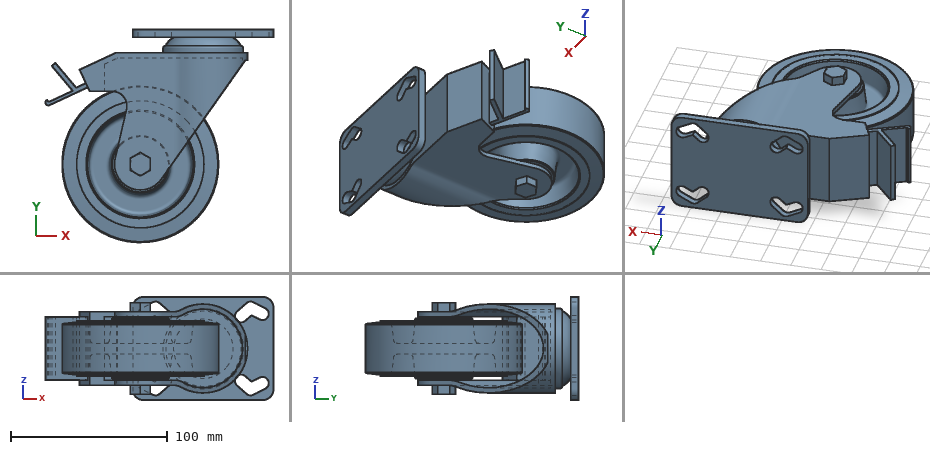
import cadquery as cq
import math


overall_length = 145.6
overall_height = 136.0

wheel_radius = 100.0 / 2
tread_half_width = 15.9
tread_edge_radial = 0.6
tread_edge_axial = 0.7
tread_crown_rise = 1.0
rim_radius = 81.3 / 2
rim_half_width = 17.6
rim_mouth_radius = 34.7
rim_mouth_chamfer = 0.9
rim_floor_radius = 32.3
web_half_width = 3.5
rim_floor_fillet = 2.5
hub_half_width = 19.2
hub_radius = 18.4
hub_edge_chamfer = 0.6
hub_base_radius = 19.8
hub_base_fillet = 2.5

axle_diameter = 13.0
bolt_across_flats = 13.0
bolt_half_length = 29.3

plate_length = 90.0
plate_width = 66.0
plate_thickness = 5.1
plate_top = overall_height - wheel_radius
plate_corner_radius = 7.0
slot_width = 7.9
slot_path = [(24.3, 20.7), (30.3, 25.9), (37.9, 22.1)]

swivel_x = 40.0
bearing_radius = 51.3 / 2
bearing_edge_radius = 1.6
bearing_rim_height = 4.4
dome_base_radius = bearing_radius - bearing_edge_radius
dome_top_radius = 19.0
dome_bulge = 0.5

fork_top = 71.2
fork_wall = 3.3
leg_half_width = 23.5
skirt_radius = 28.4
neck_radius = 9.5
leg_end_radius = 16.5
leg_back_angle = 13.0
lip_height = 5.0
lip_inset = 1.5
arm_bend_x = -15.5
arm_slope = 25.0
arm_slope_length = 25.8
arm_bottom = 46.5
arm_corner_radius = 9.3
cavity_back_x = -22.9

lever_width = 2 * (leg_half_width - fork_wall)
curl_radius = 1.9
curl_x = swivel_x + plate_length / 2 - overall_length + curl_radius
curl_y = 39.3
curl_notch_height = 0.7
pedal_thickness = 2.2
lever_length = 32.0
release_thickness = 3.0
release_start = 17.2
release_length = 20.7
release_angle = 105.0
foot_start = 18.6


def polar(radius, degrees):
    angle = math.radians(degrees)
    return radius * math.cos(angle), radius * math.sin(angle)


def make_wheel():
    crown = tread_half_width + tread_crown_rise
    half = (
        cq.Workplane("XZ")
        .moveTo(0, 0)
        .lineTo(wheel_radius, 0)
        .lineTo(wheel_radius, tread_half_width - tread_edge_axial)
        .lineTo(wheel_radius - tread_edge_radial, tread_half_width)
        .lineTo(rim_radius, crown)
        .lineTo(rim_radius, rim_half_width)
        .lineTo(rim_mouth_radius, rim_half_width)
        .lineTo(rim_mouth_radius - rim_mouth_chamfer, rim_half_width - rim_mouth_chamfer)
        .lineTo(rim_floor_radius, web_half_width + rim_floor_fillet)
        .radiusArc((rim_floor_radius - rim_floor_fillet, web_half_width), rim_floor_fillet)
        .lineTo(hub_base_radius + hub_base_fillet, web_half_width)
        .radiusArc((hub_base_radius, web_half_width + hub_base_fillet), hub_base_fillet)
        .lineTo(hub_radius, hub_half_width - hub_edge_chamfer)
        .lineTo(hub_radius - hub_edge_chamfer, hub_half_width)
        .lineTo(0, hub_half_width)
        .close()
        .revolve(360, (0, 0, 0), (0, 1, 0))
    )
    return half.union(half.mirror("XY"))


def make_axle():
    axle = cq.Workplane("XY").circle(axle_diameter / 2).extrude(leg_half_width, both=True)
    across_corners = bolt_across_flats / math.cos(math.radians(30))
    head = (
        cq.Workplane("XY", origin=(0, 0, leg_half_width))
        .transformed(rotate=(0, 0, 90))
        .polygon(6, across_corners)
        .extrude(bolt_half_length - leg_half_width)
    )
    return axle.union(head).union(head.mirror("XY"))


def make_plate():
    top_face = cq.Workplane("XZ", origin=(swivel_x, plate_top, 0))
    plate = (
        top_face.rect(plate_length, plate_width)
        .extrude(plate_thickness)
        .edges("|Y")
        .fillet(plate_corner_radius)
    )
    slot = top_face.pushPoints(slot_path).circle(slot_width / 2).extrude(plate_thickness)
    for (x1, z1), (x2, z2) in zip(slot_path, slot_path[1:]):
        leg = (
            top_face.center((x1 + x2) / 2, (z1 + z2) / 2)
            .transformed(rotate=(0, 0, math.degrees(math.atan2(z2 - z1, x2 - x1))))
            .rect(math.hypot(x2 - x1, z2 - z1), slot_width)
            .extrude(plate_thickness)
        )
        slot = slot.union(leg)
    slot_pair = slot.union(slot.mirror("XY"))
    opposite_pair = slot_pair.mirror("YZ", (swivel_x, 0, 0))
    return plate.cut(slot_pair).cut(opposite_pair)


def make_bearing():
    dome_base = bearing_rim_height
    dome_top = plate_top - plate_thickness - fork_top
    middle_radius = (dome_base_radius + dome_top_radius) / 2 + dome_bulge
    middle_height = (dome_base + dome_top) / 2 + dome_bulge
    return (
        cq.Workplane("XY", origin=(swivel_x, fork_top, 0))
        .lineTo(bearing_radius, 0)
        .lineTo(bearing_radius, dome_base - bearing_edge_radius)
        .radiusArc((dome_base_radius, dome_base), -bearing_edge_radius)
        .threePointArc((middle_radius, middle_height), (dome_top_radius, dome_top))
        .lineTo(0, dome_top)
        .close()
        .revolve(360, (0, 0, 0), (0, 1, 0))
    )


def fork_plan(inset, start_y):
    """Keyhole-shaped prism: two straight legs joined by a round skirt, shrunk by inset."""
    half_width = leg_half_width - inset
    radius = skirt_radius - inset
    neck = neck_radius + inset
    neck_z = half_width + neck
    neck_x = swivel_x - math.sqrt((radius + neck) ** 2 - neck_z**2)
    share = neck / (radius + neck)
    join_x = neck_x + share * (swivel_x - neck_x)
    join_z = neck_z * (1 - share)
    back_x = arm_bend_x - arm_slope_length
    return (
        cq.Workplane("XZ", origin=(0, start_y, 0))
        .moveTo(back_x, -half_width)
        .lineTo(neck_x, -half_width)
        .radiusArc((join_x, -join_z), neck)
        .threePointArc((swivel_x + radius, 0), (join_x, join_z))
        .radiusArc((neck_x, half_width), neck)
        .lineTo(back_x, half_width)
        .close()
        .extrude(start_y + leg_end_radius)
    )


def fork_outline():
    """Side outline of the fork: sloped arm, lip, slanted skirt edge and round leg end."""
    slope_x, slope_y = polar(arm_slope_length, arm_slope)
    nose = (arm_bend_x - slope_x, fork_top - slope_y)
    heel_x = nose[0] + (nose[1] - arm_bottom) * math.tan(math.radians(arm_slope))
    lip_x = swivel_x + skirt_radius
    lip_y = fork_top - lip_height
    skirt_start = (lip_x - lip_inset, lip_y)

    start_distance = math.hypot(*skirt_start)
    start_angle = math.degrees(math.atan2(skirt_start[1], skirt_start[0]))
    front_angle = start_angle - math.degrees(math.acos(leg_end_radius / start_distance))
    front_tangent = polar(leg_end_radius, front_angle)
    back_tangent = polar(leg_end_radius, 180 - leg_back_angle)

    lean = math.radians(leg_back_angle)
    corner_x = (arm_bottom * math.sin(lean) - leg_end_radius) / math.cos(lean)
    corner_run = arm_corner_radius * math.tan((math.pi / 2 + lean) / 2)
    corner_end = (
        corner_x - corner_run * math.sin(lean),
        arm_bottom - corner_run * math.cos(lean),
    )
    return (
        cq.Workplane("XY")
        .moveTo(arm_bend_x, fork_top)
        .lineTo(lip_x, fork_top)
        .lineTo(lip_x, lip_y)
        .lineTo(*skirt_start)
        .lineTo(*front_tangent)
        .threePointArc((0, -leg_end_radius), back_tangent)
        .lineTo(*corner_end)
        .radiusArc((corner_x - corner_run, arm_bottom), -arm_corner_radius)
        .lineTo(heel_x, arm_bottom)
        .lineTo(*nose)
        .close()
        .extrude(skirt_radius, both=True)
    )


def fork_cavity():
    """Space between the legs, one wall below the top and closed at the back."""
    ceiling = fork_top - fork_wall
    bend_x = arm_bend_x + fork_wall * math.tan(math.radians(arm_slope / 2))
    back_ceiling = ceiling - (bend_x - cavity_back_x) * math.tan(math.radians(arm_slope))
    front_x = swivel_x + skirt_radius
    side = (
        cq.Workplane("XY")
        .moveTo(cavity_back_x, -leg_end_radius)
        .lineTo(cavity_back_x, back_ceiling)
        .lineTo(bend_x, ceiling)
        .lineTo(front_x, ceiling)
        .lineTo(front_x, -leg_end_radius)
        .close()
        .extrude(skirt_radius, both=True)
    )
    return fork_plan(fork_wall, fork_top).intersect(side)


def make_fork():
    return fork_plan(0, fork_top).intersect(fork_outline()).cut(fork_cavity())


def make_lever():
    underside = -curl_radius
    pedal_top = underside + pedal_thickness
    foot_top = underside + release_thickness
    notch_x, notch_y = polar(curl_notch_height, 90 - arm_slope)
    notch_end_x = notch_x + (notch_y - pedal_top) / math.tan(math.radians(arm_slope))
    frame = cq.Workplane(
        cq.Plane(
            origin=(curl_x, curl_y, 0),
            xDir=(*polar(1, arm_slope), 0),
            normal=(0, 0, 1),
        )
    )
    pedal = (
        frame.moveTo(0, underside)
        .threePointArc((-curl_radius, 0), (0, curl_radius))
        .lineTo(notch_x, notch_y)
        .lineTo(notch_end_x, pedal_top)
        .lineTo(foot_start, pedal_top)
        .lineTo(foot_start, foot_top)
        .lineTo(lever_length, foot_top)
        .lineTo(lever_length, underside)
        .close()
        .extrude(lever_width / 2, both=True)
    )
    along_x, along_y = polar(release_length, release_angle)
    across_x, across_y = polar(release_thickness, release_angle - 90)
    release = (
        frame.moveTo(release_start, pedal_top)
        .lineTo(release_start + along_x, pedal_top + along_y)
        .lineTo(release_start + along_x + across_x, pedal_top + along_y + across_y)
        .lineTo(release_start + across_x, pedal_top + across_y)
        .lineTo(release_start + across_x, underside)
        .lineTo(release_start, underside)
        .close()
        .extrude(lever_width / 2, both=True)
    )
    return pedal.union(release)


result = make_fork().union(make_bearing()).union(make_plate())
result = result.union(make_lever()).union(make_wheel()).union(make_axle())